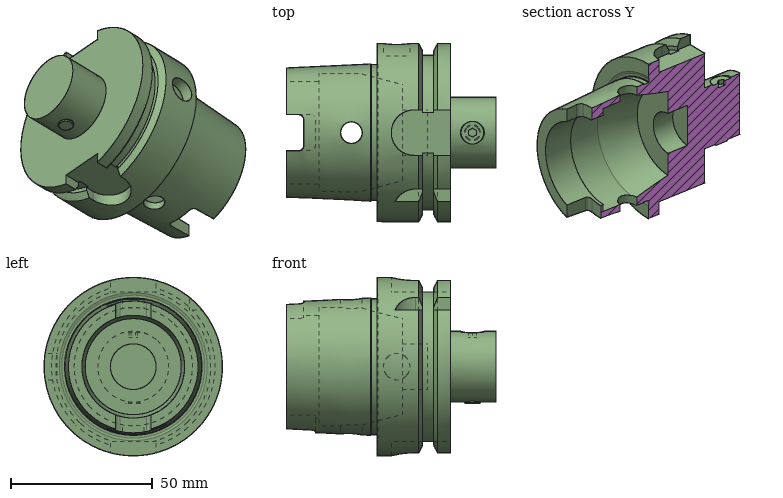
import cadquery as cq
import math


overall_length = 74.0
taper_end = 29.75
neck_start = 30.1
flange_start = 32.05
groove_start = 48.1
groove_end = 51.95
flange_end = 57.95
groove_flank_length = 1.4

flange_radius = 63.0 / 2
taper_mouth_radius = 22.9
taper_end_radius = 24.3
neck_radius = 24.05
groove_radius = 27.4
groove_flank_radius = 28.9
pilot_radius = 12.5

relief_outer_radius = 26.1
relief_floor_radius = 25.25
relief_depth = 0.2
neck_root_chamfer = 0.2

mouth_radius = 18.1
undercut_radius = 20.9
undercut_start = 11.5
undercut_end = 26.0
bore_floor_radius = 16.95
bore_floor = 41.0
coolant_hole_radius = 8.1
coolant_hole_depth = 8.9

notch_width = 12.65
notch_corner_radius = 1.7
top_notch_depth = 6.1
bottom_notch_depth = 10.2

cross_hole_x = 22.95
cross_hole_radius = 3.8

keyway_radius = 8.0
keyway_end = 37.0
keyway_floor = 26.4
corner_keyway_center = 45.5
corner_keyway_floor = 20.0
corner_keyway_wall = 19.9

chip_hole_x = 38.9
chip_hole_radius = 4.65
chip_hole_depth = 4.5

screw_x = 65.65
screw_seat_radius = 4.2
screw_head_radius = 4.0
screw_head_top = 12.1
hex_flat_width = 2.75
hex_depth = 1.85
screw_tip_radius = 2.8
screw_tip_end_radius = 2.5
screw_tip_shoulder = 12.6
screw_tip_end = 13.0


def revolve_about_axis(points):
    """Turn a closed (axial, radial) outline around the X axis."""
    return cq.Workplane("XY").polyline(points).close().revolve(360, (0, 0, 0), (1, 0, 0))


def vertical_cylinder(x, radius, bottom, top):
    return cq.Workplane("XY", origin=(x, 0, bottom)).circle(radius).extrude(top - bottom)


def vertical_cone(x, bottom, bottom_radius, top, top_radius):
    outline = [(0, bottom), (bottom_radius, bottom), (top_radius, top), (0, top)]
    profile = cq.Workplane("XZ").polyline(outline).close()
    return profile.revolve(360, (0, 0, 0), (0, 1, 0)).translate((x, 0, 0))


def outer_body():
    relief_floor = flange_start + relief_depth
    return revolve_about_axis([
        (0, 0),
        (0, taper_mouth_radius),
        (taper_end, taper_end_radius),
        (neck_start, neck_radius),
        (relief_floor - neck_root_chamfer, neck_radius),
        (relief_floor, neck_radius + neck_root_chamfer),
        (relief_floor, relief_floor_radius),
        (flange_start, relief_outer_radius),
        (flange_start, flange_radius),
        (groove_start - groove_flank_length, flange_radius),
        (groove_start, groove_flank_radius),
        (groove_start, groove_radius),
        (groove_end, groove_radius),
        (groove_end, groove_flank_radius),
        (groove_end + groove_flank_length, flange_radius),
        (flange_end, flange_radius),
        (flange_end, pilot_radius),
        (overall_length, pilot_radius),
        (overall_length, 0),
    ])


def clamping_bore():
    hole_end = bore_floor + coolant_hole_depth
    return revolve_about_axis([
        (0, 0),
        (0, mouth_radius),
        (undercut_start, mouth_radius),
        (undercut_start, undercut_radius),
        (undercut_end, undercut_radius),
        (bore_floor, bore_floor_radius),
        (bore_floor, coolant_hole_radius),
        (hole_end, coolant_hole_radius),
        (hole_end, 0),
    ])


def drive_notch(depth, side):
    """Notch through the wall on one side (side = +1 for +Z, -1 for -Z)."""
    block = cq.Workplane("XY").box(2 * depth, notch_width, flange_radius, centered=(True, True, False))
    block = block.edges("|Z").fillet(notch_corner_radius)
    return block if side > 0 else block.mirror("XY")


def keyway(center_x, center_y, floor):
    """Round-ended slot, open at the pilot side of the flange, cut down to Z = floor."""
    outline = (
        cq.Workplane("XY", origin=(0, center_y, floor))
        .moveTo(flange_end, keyway_radius)
        .lineTo(center_x, keyway_radius)
        .threePointArc((center_x - keyway_radius, 0), (center_x, -keyway_radius))
        .lineTo(flange_end, -keyway_radius)
        .close()
    )
    return outline.extrude(flange_radius - floor)


def chip_hole():
    plane = cq.Workplane("XZ", origin=(chip_hole_x, flange_radius, 0))
    return plane.circle(chip_hole_radius).extrude(chip_hole_depth)


def add_clamping_screw(body):
    body = body.cut(vertical_cone(screw_x, screw_head_top, screw_head_radius, pilot_radius, screw_seat_radius))
    body = body.union(vertical_cylinder(screw_x, screw_head_radius, 0, screw_head_top))
    hex_diameter = hex_flat_width / math.cos(math.pi / 6)
    socket = (
        cq.Workplane("XY", origin=(screw_x, 0, screw_head_top))
        .transformed(rotate=(0, 0, 90))
        .polygon(6, hex_diameter)
        .extrude(-hex_depth)
    )
    body = body.cut(socket)
    body = body.union(vertical_cylinder(screw_x, screw_tip_radius, -screw_tip_shoulder, 0))
    point = vertical_cone(screw_x, -screw_tip_end, screw_tip_end_radius, -screw_tip_shoulder, screw_tip_radius)
    return body.union(point)


body = outer_body().cut(clamping_bore())
body = body.cut(drive_notch(top_notch_depth, 1)).cut(drive_notch(bottom_notch_depth, -1))
body = body.cut(vertical_cylinder(cross_hole_x, cross_hole_radius, -flange_radius, flange_radius))

top_keyway = keyway(keyway_end + keyway_radius, 0, keyway_floor)
corner_keyway = keyway(corner_keyway_center, -corner_keyway_wall - keyway_radius, corner_keyway_floor)
body = body.cut(top_keyway).cut(top_keyway.mirror("XY")).cut(corner_keyway)
body = body.cut(chip_hole())

result = add_clamping_screw(body)